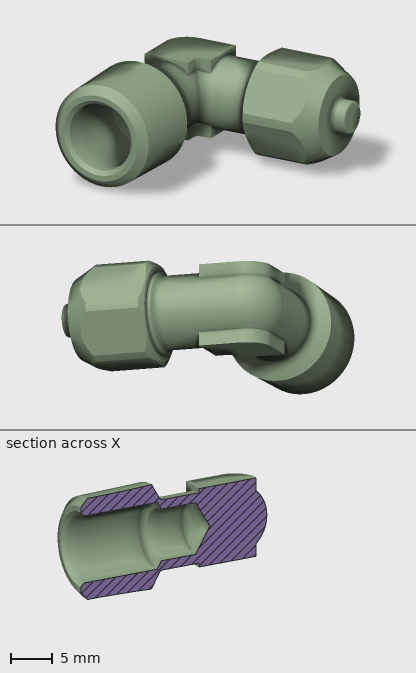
import cadquery as cq
import math


pipe_radius = 4.5
pad_height = 5.02
pad_reach = 5.02
pad_outer_radius = 2.97
pad_half_width = 3.03
blend_radius = 0.5

flare_angle = math.radians(60)
neck_length = 10.03
collar_radius = 5.0

port_length = 21.5
port_radius = 6.68
port_end_radius = 6.47
port_tip_radius = 5.43
port_tip_chamfer = 0.95

mouth_radius = 4.75
bore_radius = 4.25
bore_depth = 10.68
drill_radius = 3.25
drill_depth = 16.03
drill_half_angle = math.radians(59)

nut_start = 11.05
nut_end = 21.1
nut_across_flats = 12.0
hexagon_turn = 30
nut_corner_radius = 6.62
nut_front_radius = 5.0
nut_back_radius = 5.8
nut_front_angle = math.radians(30)
nut_back_angle = math.radians(60)

tube_end = 23.0
tube_radius = 2.05
tube_base_fillet = 0.35
tube_end_fillet = 0.27


def revolve_along_x(outline):
    """Revolve a closed (axial, radial) outline about the X axis."""
    return outline.close().revolve(360, (0, 0, 0), (1, 0, 0))


def turn_to_port(solid):
    """Swing a solid lying along +X so that it lies along -Y."""
    return solid.rotate((0, 0, 0), (0, 0, 1), -90)


def flared_pipe(top_radius):
    """Start an outline with the pipe, its blend arc and a cone up to top_radius."""
    def arc_point(angle):
        return (
            neck_length + blend_radius * math.sin(angle),
            pipe_radius + blend_radius * (1 - math.cos(angle)),
        )

    cone_start, cone_start_radius = arc_point(flare_angle)
    cone_end = cone_start + (top_radius - cone_start_radius) / math.tan(flare_angle)
    return (
        cq.Workplane("XY")
        .lineTo(0, pipe_radius)
        .lineTo(neck_length, pipe_radius)
        .threePointArc(arc_point(flare_angle / 2), (cone_start, cone_start_radius))
        .lineTo(cone_end, top_radius)
    )


def make_port():
    outline = flared_pipe(port_radius)
    outline = (
        outline
        .lineTo(port_length - port_tip_chamfer, port_end_radius)
        .lineTo(port_length, port_tip_radius)
        .lineTo(port_length, 0)
    )
    return turn_to_port(revolve_along_x(outline))


def make_nut_arm():
    outline = flared_pipe(collar_radius)
    outline = outline.lineTo(nut_start, collar_radius).lineTo(nut_start, 0)
    return revolve_along_x(outline)


def make_bore():
    mouth_chamfer = mouth_radius - bore_radius
    step_length = (bore_radius - drill_radius) / math.tan(drill_half_angle)
    tip_length = drill_radius / math.tan(drill_half_angle)
    outline = (
        cq.Workplane("XY")
        .moveTo(port_length, 0)
        .lineTo(port_length, mouth_radius)
        .lineTo(port_length - mouth_chamfer, bore_radius)
        .lineTo(port_length - bore_depth, bore_radius)
        .lineTo(port_length - bore_depth - step_length, drill_radius)
        .lineTo(port_length - drill_depth, drill_radius)
        .lineTo(port_length - drill_depth - tip_length, 0)
    )
    return turn_to_port(revolve_along_x(outline))


def make_pads():
    """L-shaped block whose two ends form the flat pads above and below the elbow."""
    pads = (
        cq.Workplane("XY", origin=(0, 0, -pad_height))
        .moveTo(-pad_half_width, -pad_reach)
        .lineTo(pad_half_width, -pad_reach)
        .lineTo(pad_half_width, -pad_half_width)
        .lineTo(pad_reach, -pad_half_width)
        .lineTo(pad_reach, pad_half_width)
        .lineTo(-pad_half_width, pad_half_width)
        .close()
        .extrude(2 * pad_height)
    )
    return pads.edges("|Z").edges("<X and >Y").fillet(pad_outer_radius)


def make_nut():
    front_cone = (nut_corner_radius - nut_front_radius) / math.tan(nut_front_angle)
    back_cone = (nut_corner_radius - nut_back_radius) / math.tan(nut_back_angle)
    turned_blank = revolve_along_x(
        cq.Workplane("XY")
        .moveTo(nut_start, 0)
        .lineTo(nut_start, nut_back_radius)
        .lineTo(nut_start + back_cone, nut_corner_radius)
        .lineTo(nut_end - front_cone, nut_corner_radius)
        .lineTo(nut_end, nut_front_radius)
        .lineTo(nut_end, 0)
    )
    hexagon = (
        cq.Workplane("YZ", origin=(nut_start, 0, 0))
        .polygon(6, nut_across_flats, circumscribed=True)
        .extrude(nut_end - nut_start)
        .rotate((0, 0, 0), (1, 0, 0), hexagon_turn)
    )
    return turned_blank.intersect(hexagon)


def make_tube():
    diagonal = math.sqrt(0.5)
    base_bulge = tube_base_fillet * (1 - diagonal)
    end_bulge = tube_end_fillet * (1 - diagonal)
    return revolve_along_x(
        cq.Workplane("XY")
        .moveTo(nut_end, 0)
        .lineTo(nut_end, tube_radius + tube_base_fillet)
        .threePointArc(
            (nut_end + base_bulge, tube_radius + base_bulge),
            (nut_end + tube_base_fillet, tube_radius),
        )
        .lineTo(tube_end - tube_end_fillet, tube_radius)
        .threePointArc(
            (tube_end - end_bulge, tube_radius - end_bulge),
            (tube_end, tube_radius - tube_end_fillet),
        )
        .lineTo(tube_end, 0)
    )


elbow_ball = cq.Workplane("XY").sphere(pipe_radius)
body = make_port().union(make_nut_arm()).union(elbow_ball).union(make_pads())

margin = 0.03
corner = cq.selectors.BoxSelector(
    (pad_half_width - margin, -pipe_radius - margin, -pad_height - margin),
    (pipe_radius + margin, -pad_half_width + margin, pad_height + margin),
    boundingbox=True,
)
body = body.edges(corner).fillet(blend_radius)

result = body.union(make_nut()).union(make_tube()).cut(make_bore())